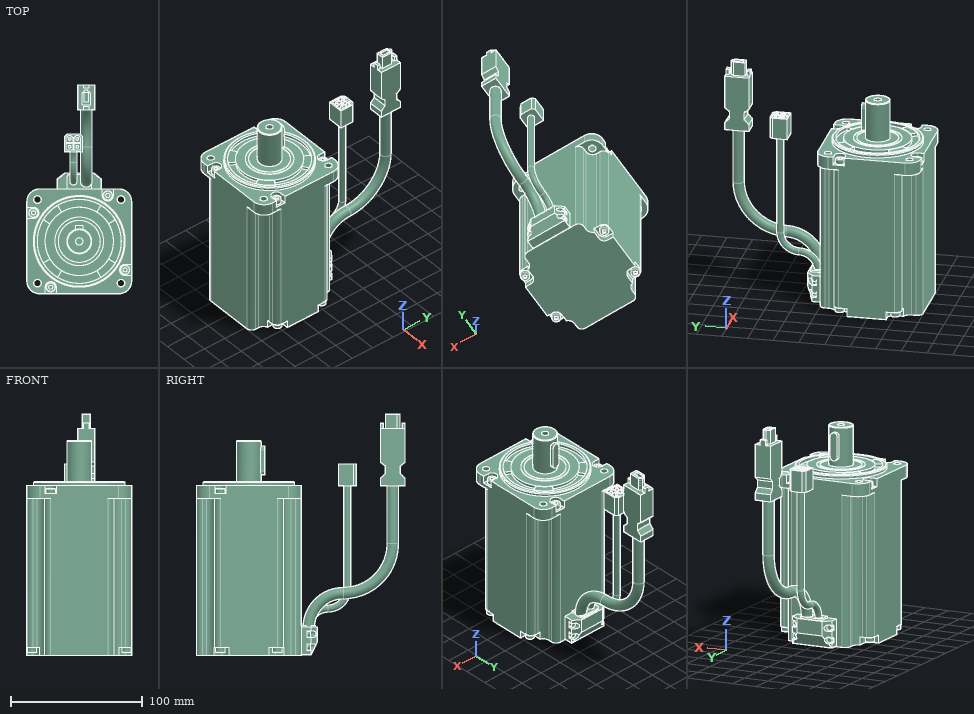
import cadquery as cq
import math


flange_width = 80.0
flange_corner_radius = 10.0
flange_thickness = 10.1
flange_top = 129.7
mount_hole_offset = 31.8
mount_hole_diameter = 5.5

lobe_radius = 4.6
lobe_start = 21.7
corner_groove_radius = 5.9

pilot_diameter = 70.0
pilot_height = 3.0
pilot_chamfer = 0.7
ring_outer_diameter = 64.0
ring_inner_diameter = 52.0
ring_depth = 0.4
pocket_depth = 2.8
pocket_half_angle = 31
seal_outer_diameter = 37.0
seal_inner_diameter = 32.0
seal_groove_depth = 0.4

shaft_diameter = 19.0
shaft_top = 163.8
shaft_chamfer = 0.5
shaft_hole_diameter = 5.5
shaft_hole_depth = 18.4
key_width = 6.0
key_length = 22.0
key_bottom = 137.8
key_reach = 12.1

screw_head_diameter = 7.0
screw_head_height = 3.9
screw_head_fillet = 0.5
screw_socket_width = 3.0
screw_socket_depth = 1.8
screw_recess_depth = 6.3
screw_offset = 21.7
front_screw_reach = 35.0
front_slot_width = 8.5
rear_screw_reach = 36.0
rear_recess_inner_x = 30.2
rear_recess_inner_y = 15.3
rear_recess_outer_y = 27.6
rear_recess_corner_radius = 5.0

housing_width = 33.7
housing_reach = 52.3
housing_bottom = 0.5
housing_top = 21.9
housing_bevel_width = 6.0
housing_bevel_depth = 4.8
housing_slope_height = 10.0
housing_step_width = 18.4
housing_step_height = 1.3
housing_step_reach = 51.0
housing_step_fillet = 1.8
housing_screw_x = 14.5
housing_screw_heights = (6.6, 16.4)
housing_screw_slot_width = 5.0
housing_screw_slot_floor = 44.3
housing_screw_head_diameter = 4.5
housing_screw_head_length = 2.8

cable_exit_y = 45.6
cable_embed = 0.5
connector_bottom = 129.4

encoder_cable_diameter = 8.8
encoder_cable_x = 5.3
encoder_cable_lower_radius = 26.3
encoder_cable_upper_radius = 37.7

power_cable_diameter = 5.5
power_cable_x = -4.5
power_cable_lower_radius = 14.5
power_cable_upper_radius = 14.9

power_plug_width = 13.8
power_plug_height = 16.7
power_plug_chamfer = 2.2
power_cell_width = 5.2
power_cell_pitch = 5.9
power_cell_depth = 5.5
power_cell_chamfer = 1.7
power_pin_diameter = 2.0

encoder_plug_width = 13.0
encoder_plug_depth = 19.0
encoder_plug_height = 43.8
neck_depth = 11.5
neck_lower_start = 5.7
neck_lower_end = 9.4
neck_upper_start = 15.0
neck_upper_end = 18.0
tongue_width = 6.5
tongue_depth = 11.2
tongue_top = 184.0
tongue_chamfer = 2.4
tongue_slot_width = 3.1
tongue_slot_length = 7.2
tongue_slot_depth = 7.4
clip_width = 4.5
clip_thickness = 2.4
clip_height = 4.0

arc_mid = math.sqrt(0.5)
half_width = flange_width / 2
flange_bottom = flange_top - flange_thickness
pilot_top = flange_top + pilot_height
cable_start_z = housing_top - cable_embed
encoder_plug_y = cable_exit_y + encoder_cable_lower_radius + encoder_cable_upper_radius
power_plug_y = cable_exit_y + power_cable_lower_radius + power_cable_upper_radius


def cylinder(x, y, bottom, top, diameter):
    """Upright cylinder between two heights."""
    return cq.Workplane("XY", origin=(x, y, bottom)).circle(diameter / 2).extrude(top - bottom)


def block(x, y, bottom, size_x, size_y, height):
    """Upright block centred on (x, y)."""
    return cq.Workplane("XY", origin=(x, y, bottom)).rect(size_x, size_y).extrude(height)


def ring_sector(outer_diameter, inner_diameter, top, bottom, sweep_angle=360):
    """Rectangular section turned about the shaft axis, starting at +X."""
    width = (outer_diameter - inner_diameter) / 2
    section = cq.Workplane("XZ", origin=(inner_diameter / 2 + width / 2, 0, (top + bottom) / 2))
    section = section.rect(width, top - bottom)
    axis_x = -(inner_diameter / 2 + width / 2)
    return section.revolve(sweep_angle, (axis_x, 0, 0), (axis_x, 1, 0))


def quarter_turned(point, quarters):
    """Plan point turned about the shaft axis by whole quarter turns."""
    x, y = point
    for _ in range(quarters):
        x, y = -y, x
    return (x, y)


def motor_body():
    lobe_end = lobe_start + lobe_radius
    ledge = half_width - lobe_radius
    scoop_start = lobe_end + corner_groove_radius
    lobe_bulge = lobe_radius * arc_mid
    scoop_mid = scoop_start - corner_groove_radius * arc_mid

    side_and_corner = [
        (half_width, lobe_start),
        (ledge + lobe_bulge, lobe_start + lobe_bulge),
        (ledge, lobe_end),
        (scoop_start, lobe_end),
        (scoop_mid, scoop_mid),
        (lobe_end, scoop_start),
        (lobe_end, ledge),
        (lobe_start + lobe_bulge, ledge + lobe_bulge),
        (lobe_start, half_width),
    ]
    profile = cq.Workplane("XY").moveTo(half_width, -lobe_start)
    for quarter in range(4):
        points = [quarter_turned(point, quarter) for point in side_and_corner]
        profile = (
            profile.lineTo(*points[0])
            .threePointArc(points[1], points[2])
            .lineTo(*points[3])
            .threePointArc(points[4], points[5])
            .lineTo(*points[6])
            .threePointArc(points[7], points[8])
        )
    return profile.close().extrude(flange_bottom)


def front_flange():
    flange = block(0, 0, flange_bottom, flange_width, flange_width, flange_thickness)
    flange = flange.edges("|Z").fillet(flange_corner_radius)
    for x in (-mount_hole_offset, mount_hole_offset):
        for y in (-mount_hole_offset, mount_hole_offset):
            flange = flange.cut(cylinder(x, y, flange_bottom, flange_top, mount_hole_diameter))
    pilot = cylinder(0, 0, flange_top, pilot_top, pilot_diameter).faces(">Z").chamfer(pilot_chamfer)
    return flange.union(pilot)


def with_pilot_recesses(motor):
    """Seal groove and shallow ring, with four deeper arc pockets below the ring floor."""
    seal_floor = pilot_top - seal_groove_depth
    motor = motor.cut(ring_sector(seal_outer_diameter, seal_inner_diameter, pilot_top, seal_floor))
    ring_floor = pilot_top - ring_depth
    motor = motor.cut(ring_sector(ring_outer_diameter, ring_inner_diameter, pilot_top, ring_floor))
    pocket = ring_sector(ring_outer_diameter, ring_inner_diameter, ring_floor,
                         pilot_top - pocket_depth, 2 * pocket_half_angle)
    for quarter in range(4):
        start_angle = 90 * quarter - pocket_half_angle
        motor = motor.cut(pocket.rotate((0, 0, 0), (0, 0, 1), start_angle))
    return motor


def shaft():
    rod = cylinder(0, 0, flange_top, shaft_top, shaft_diameter).faces(">Z").chamfer(shaft_chamfer)
    key = cq.Workplane("XZ", origin=(0, 0, key_bottom + key_length / 2))
    key = key.slot2D(key_length, key_width, 90).extrude(-key_reach)
    hole = cylinder(0, 0, shaft_top - shaft_hole_depth, shaft_top, shaft_hole_diameter)
    return rod.union(key).cut(hole)


def cap_screw():
    """Screw head standing on z = 0, socket facing up."""
    head = cylinder(0, 0, 0, screw_head_height, screw_head_diameter)
    head = head.faces(">Z").edges().fillet(screw_head_fillet)
    socket_corner_diameter = screw_socket_width / math.cos(math.radians(30))
    return head.faces(">Z").workplane().polygon(6, socket_corner_diameter).cutBlind(-screw_socket_depth)


def with_front_screws(motor):
    """Four screws in slots open to the flange sides, one near each end of the sides in turn."""
    seat = flange_top - screw_recess_depth
    slot_length = half_width - front_screw_reach
    slot = cylinder(-screw_offset, -front_screw_reach, seat, flange_top, front_slot_width).union(
        block(-screw_offset, -front_screw_reach - slot_length / 2, seat,
              front_slot_width, slot_length, screw_recess_depth)
    )
    screw = cap_screw().translate((-screw_offset, -front_screw_reach, seat))
    for quarter in range(4):
        angle = 90 * quarter
        motor = motor.cut(slot.rotate((0, 0, 0), (0, 0, 1), angle))
        motor = motor.union(screw.rotate((0, 0, 0), (0, 0, 1), angle))
    return motor


def with_rear_screws(motor):
    """Four screws facing backwards in recesses that cut away the ends of the +X and -X lobes."""
    size_x = half_width - rear_recess_inner_x
    size_y = rear_recess_outer_y - rear_recess_inner_y
    recess = block(half_width - size_x / 2, rear_recess_inner_y + size_y / 2, 0,
                   size_x, size_y, screw_recess_depth)
    recess = recess.edges("|Z and <X and <Y").fillet(rear_recess_corner_radius)
    screw = cap_screw().rotate((0, 0, 0), (1, 0, 0), 180)
    screw = screw.translate((rear_screw_reach, screw_offset, screw_recess_depth))
    for mirror_x in (False, True):
        for mirror_y in (False, True):
            placed_recess = recess
            placed_screw = screw
            if mirror_x:
                placed_recess = placed_recess.mirror("YZ")
                placed_screw = placed_screw.mirror("YZ")
            if mirror_y:
                placed_recess = placed_recess.mirror("XZ")
                placed_screw = placed_screw.mirror("XZ")
            motor = motor.cut(placed_recess).union(placed_screw)
    return motor


def cable_housing():
    half_housing = housing_width / 2
    bevel_start_y = housing_reach - housing_bevel_depth
    plan = [
        (-half_housing, half_width),
        (-half_housing, bevel_start_y),
        (-half_housing + housing_bevel_width, housing_reach),
        (half_housing - housing_bevel_width, housing_reach),
        (half_housing, bevel_start_y),
        (half_housing, half_width),
    ]
    housing = cq.Workplane("XY", origin=(0, 0, housing_bottom)).polyline(plan).close()
    housing = housing.extrude(housing_top - housing_bottom)

    under_slope = [
        (bevel_start_y, housing_bottom),
        (housing_reach, housing_bottom),
        (housing_reach, housing_bottom + housing_slope_height),
    ]
    slope_cut = cq.Workplane("YZ").polyline(under_slope).close().extrude(half_housing, both=True)
    housing = housing.cut(slope_cut)

    step_length = housing_step_reach - half_width
    step = block(0, half_width + step_length / 2, housing_top,
                 housing_step_width, step_length, housing_step_height)
    housing = housing.union(step.edges("|Z and >Y").fillet(housing_step_fillet))

    slot_length = half_housing - housing_screw_x
    slot_depth = housing_reach - housing_screw_slot_floor
    for side in (-1, 1):
        for z in housing_screw_heights:
            screw_plane = cq.Workplane("XZ", origin=(side * housing_screw_x, housing_screw_slot_floor, z))
            round_end = screw_plane.circle(housing_screw_slot_width / 2).extrude(-slot_depth)
            open_end = screw_plane.center(side * slot_length / 2, 0)
            open_end = open_end.rect(slot_length, housing_screw_slot_width).extrude(-slot_depth)
            head = screw_plane.circle(housing_screw_head_diameter / 2).extrude(-housing_screw_head_length)
            housing = housing.cut(round_end).cut(open_end).union(head)
    return housing


def cable(x, diameter, lower_radius, upper_radius):
    inflection_y = cable_exit_y + lower_radius
    inflection_z = cable_start_z + lower_radius
    straight_y = inflection_y + upper_radius
    straight_z = inflection_z + upper_radius
    lower_mid = (inflection_y - lower_radius * arc_mid, cable_start_z + lower_radius * arc_mid)
    upper_mid = (inflection_y + upper_radius * arc_mid, straight_z - upper_radius * arc_mid)
    path = (
        cq.Workplane("YZ", origin=(x, 0, 0))
        .moveTo(cable_exit_y, cable_start_z)
        .threePointArc(lower_mid, (inflection_y, inflection_z))
        .threePointArc(upper_mid, (straight_y, straight_z))
        .lineTo(straight_y, connector_bottom)
    )
    section = cq.Workplane("XY", origin=(x, cable_exit_y, cable_start_z)).circle(diameter / 2)
    return section.sweep(path)


def power_plug():
    top = connector_bottom + power_plug_height
    plug = block(power_cable_x, power_plug_y, connector_bottom,
                 power_plug_width, power_plug_width, power_plug_height)
    plug = plug.edges("|Z and >Y").chamfer(power_plug_chamfer)
    cell_floor = top - power_cell_depth
    half_pitch = power_cell_pitch / 2
    for y_side in (-1, 1):
        for x_side in (-1, 1):
            x = power_cable_x + x_side * half_pitch
            y = power_plug_y + y_side * half_pitch
            cell = block(x, y, cell_floor, power_cell_width, power_cell_width, power_cell_depth)
            if y_side > 0:
                cell = cell.edges("|Z and >Y").chamfer(power_cell_chamfer)
            pin = cylinder(x, y, cell_floor, top, power_pin_diameter)
            plug = plug.cut(cell).union(pin)
    return plug


def encoder_plug():
    half_depth = encoder_plug_depth / 2
    half_neck = neck_depth / 2
    right_side = [
        (half_depth, 0),
        (half_depth, neck_lower_start),
        (half_neck, neck_lower_end),
        (half_neck, neck_upper_start),
        (half_depth, neck_upper_end),
        (half_depth, encoder_plug_height),
    ]
    left_side = [(-y, z) for y, z in reversed(right_side)]
    body = cq.Workplane("YZ", origin=(encoder_cable_x, encoder_plug_y, connector_bottom))
    body = body.polyline(right_side + left_side).close().extrude(encoder_plug_width / 2, both=True)

    shoulder = connector_bottom + encoder_plug_height
    tongue = block(encoder_cable_x, encoder_plug_y, shoulder,
                   tongue_width, tongue_depth, tongue_top - shoulder)
    tongue = tongue.edges("|Z and >Y").chamfer(tongue_chamfer)
    slot = block(encoder_cable_x, encoder_plug_y, tongue_top - tongue_slot_depth,
                 tongue_slot_width, tongue_slot_length, tongue_slot_depth)
    plug = body.union(tongue.cut(slot))

    clip_offset = half_depth - clip_thickness / 2
    for y in (encoder_plug_y - clip_offset, encoder_plug_y + clip_offset):
        plug = plug.union(block(encoder_cable_x, y, shoulder, clip_width, clip_thickness, clip_height))
    return plug


motor = motor_body().union(with_pilot_recesses(front_flange())).union(shaft())
motor = with_front_screws(motor)
motor = with_rear_screws(motor)
motor = motor.union(cable_housing())
encoder_cable = cable(
    encoder_cable_x, encoder_cable_diameter, encoder_cable_lower_radius, encoder_cable_upper_radius
)
power_cable = cable(power_cable_x, power_cable_diameter, power_cable_lower_radius, power_cable_upper_radius)
result = motor.union(encoder_cable).union(power_cable).union(power_plug()).union(encoder_plug())